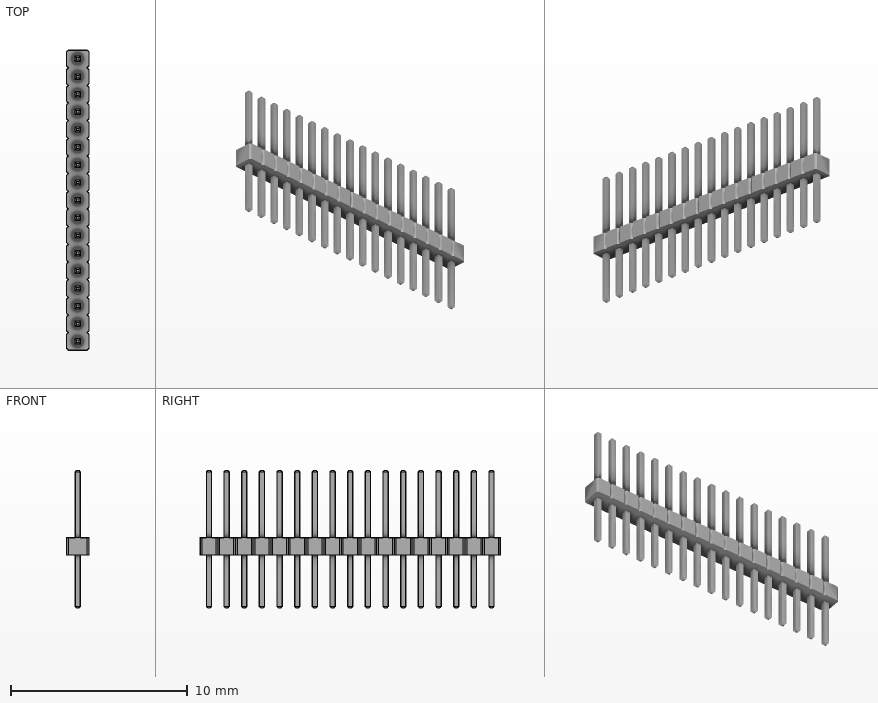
import cadquery as cq

pin_count = 17
row_length = 17.0
body_width = 1.28
body_height = 1.0
corner_chamfer = 0.1
pin_side = 0.3
pin_length = 7.8
pin_below_body = 3.0
tip_height = 0.1
tip_inset = 0.08

pitch = row_length / pin_count
first_pin_y = -(row_length - pitch) / 2
pin_positions = [(0, first_pin_y + i * pitch) for i in range(pin_count)]


def make_body():
    """Row of chamfered blocks whose corners meet as V notches."""
    segment = (
        cq.Workplane("XY")
        .box(body_width, pitch, body_height, centered=(True, True, False))
        .edges("|Z")
        .chamfer(corner_chamfer)
    )
    body = segment.translate((*pin_positions[0], 0))
    for x, y in pin_positions[1:]:
        body = body.union(segment.translate((x, y, 0)))
    return body.clean()


def make_pin():
    """Square pin standing on Z = 0, tapered at both tips."""
    return (
        cq.Workplane("XY")
        .box(pin_side, pin_side, pin_length, centered=(True, True, False))
        .faces("<Z or >Z")
        .chamfer(tip_height, tip_inset)
    )


def make_header():
    """Insulating body with one pin through the middle of each block."""
    header = make_body()
    pin = make_pin()
    for x, y in pin_positions:
        header = header.union(pin.translate((x, y, -pin_below_body)))
    return header


result = make_header()